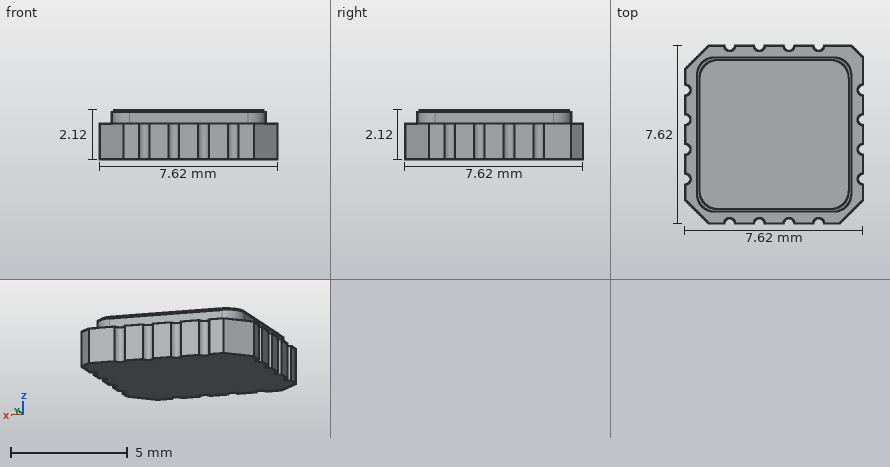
import cadquery as cq

base_side = 7.62
base_height = 1.525
corner_cut = 1.01
index_corner_cut = 0.51

notches_per_side = 4
pitches_per_side = 6
notch_pitch = base_side / pitches_per_side
notch_radius = 0.23

frame_side = 6.61
frame_height = 0.5
lid_side = 6.385
lid_height = 0.09
corner_radius = 0.76


def make_base():
    """Square base with three equal corner cuts, one index corner and edge notches."""
    plate = cq.Workplane("XY").box(base_side, base_side, base_height, centered=(True, True, False))
    index_corner = cq.NearestToPointSelector((base_side / 2, base_side / 2, base_height / 2))
    plate = plate.edges("|Z").edges(index_corner).chamfer(index_corner_cut)
    plate = plate.edges("|Z and (<X or <Y)").chamfer(corner_cut)
    return plate.cut(make_notches())


def make_notches():
    """Full-height cylinders centred on the edges of the base."""
    half_side = base_side / 2
    first_offset = -notch_pitch * (notches_per_side - 1) / 2
    centers = []
    for index in range(notches_per_side):
        offset = first_offset + index * notch_pitch
        for edge in (-half_side, half_side):
            centers.append((offset, edge))
            centers.append((edge, offset))
    return cq.Workplane("XY").pushPoints(centers).circle(notch_radius).extrude(base_height)


def make_rounded_plate(side, height, bottom):
    """Square plate with rounded vertical corners, standing on the given level."""
    plate = cq.Workplane("XY", origin=(0, 0, bottom)).rect(side, side).extrude(height)
    return plate.edges("|Z").fillet(corner_radius)


base = make_base()
seal_frame = make_rounded_plate(frame_side, frame_height, base_height)
lid = make_rounded_plate(lid_side, lid_height, base_height + frame_height)

result = cq.Compound.makeCompound([base.val(), seal_frame.val(), lid.val()])